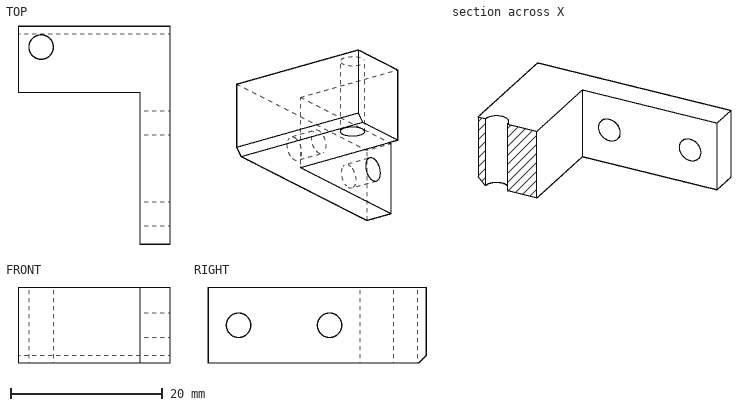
import cadquery as cq

width = 20.0
depth = 28.75
height = 10.0

leg_thickness = 4.0
leg_length = 20.0
leg_left = width - leg_thickness

back_chamfer = 1.0

hole_diameter = 3.2
block_hole_from_left = 3.0
block_hole_from_back = 2.75
leg_hole_end_distance = 4.0
leg_hole_positions = (leg_hole_end_distance, leg_length - leg_hole_end_distance)


def make_body():
    """L-shaped plate: a block at the back with a thin leg running forward."""
    outline = [
        (leg_left, 0),
        (width, 0),
        (width, depth),
        (0, depth),
        (0, leg_length),
        (leg_left, leg_length),
    ]
    body = cq.Workplane("XY").polyline(outline).close().extrude(height)
    return body.faces(">Y").edges("<Z").chamfer(back_chamfer)


def make_block_hole():
    """Vertical through hole in the free corner of the block."""
    center_y = depth - block_hole_from_back
    return (
        cq.Workplane("XY")
        .center(block_hole_from_left, center_y)
        .circle(hole_diameter / 2)
        .extrude(height)
    )


def make_leg_holes():
    """Two through holes across the leg, at mid height."""
    centers = [(y, height / 2) for y in leg_hole_positions]
    return (
        cq.Workplane("YZ", origin=(leg_left, 0, 0))
        .pushPoints(centers)
        .circle(hole_diameter / 2)
        .extrude(leg_thickness)
    )


result = make_body().cut(make_block_hole()).cut(make_leg_holes())